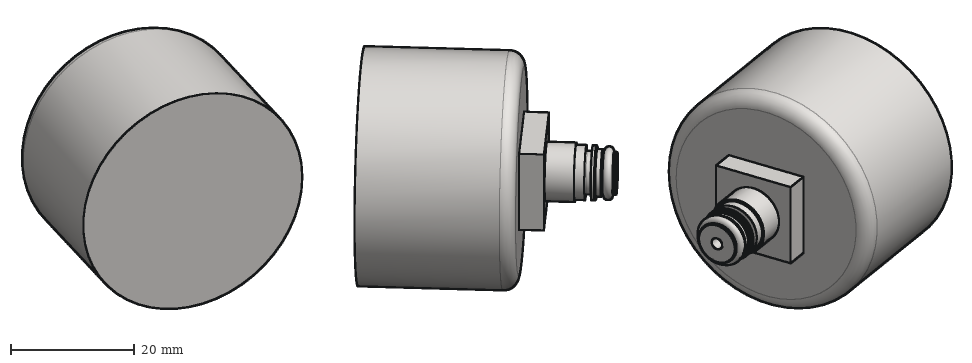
import cadquery as cq

overall_length = 41.5
tip_end = 0.5
ring_groove_end = 2.2
flange_start = 3.28
flange_end = 4.03
collar_start = 5.05
collar_end = 6.72
stem_end = 11.45
body_start = 15.5

body_diameter = 39.0
stem_diameter = 9.7
collar_diameter = 9.0
land_diameter = 7.8
clip_groove_diameter = 7.15
tip_diameter = 7.0
ring_groove_diameter = 5.65
ring_diameter = 8.75
bore_diameter = 2.0

body_round = 2.5
square_side = 14.1
edge_chamfer = 0.12
flange_chamfer = 0.2
land_chamfer = 0.25
clip_groove_fillet = 0.2
bore_depth = body_start
ring_seat_depth = 0.05

ring_tube_radius = (ring_diameter - ring_groove_diameter) / 4 + ring_seat_depth / 2
ring_center_radius = ring_diameter / 2 - ring_tube_radius
ring_center = (tip_end + ring_groove_end) / 2


def cylinder(start, end, diameter):
    """Round section on the X axis between two stations."""
    return cq.Workplane("YZ", origin=(start, 0, 0)).circle(diameter / 2).extrude(end - start)


def make_body():
    """Gauge case with a rounded edge toward the connector."""
    return cylinder(body_start, overall_length, body_diameter).faces("<X").edges().fillet(body_round)


def make_square():
    """Square wrench block between the stem and the case."""
    length = body_start - stem_end
    return cq.Workplane("YZ", origin=(stem_end, 0, 0)).rect(square_side, square_side).extrude(length)


def make_clip_groove():
    """Narrow neck behind the flange, filleted into both groove walls."""
    neck_radius = clip_groove_diameter / 2
    wall_radius = neck_radius + clip_groove_fillet
    return (
        cq.Workplane("XY")
        .moveTo(flange_end, 0)
        .lineTo(flange_end, wall_radius)
        .radiusArc((flange_end + clip_groove_fillet, neck_radius), -clip_groove_fillet)
        .lineTo(collar_start - clip_groove_fillet, neck_radius)
        .radiusArc((collar_start, wall_radius), -clip_groove_fillet)
        .lineTo(collar_start, 0)
        .close()
        .revolve(360, (0, 0, 0), (1, 0, 0))
    )


def make_o_ring():
    """Sealing ring seated in the groove behind the tip."""
    return (
        cq.Workplane("XY")
        .center(ring_center, ring_center_radius)
        .circle(ring_tube_radius)
        .revolve(360, (0, -ring_center_radius, 0), (1, -ring_center_radius, 0))
    )


def make_connector():
    """Stepped quick-connect spigot, from tip to stem."""
    sections = [
        cylinder(0, tip_end, tip_diameter).edges().chamfer(edge_chamfer),
        cylinder(tip_end, ring_groove_end, ring_groove_diameter),
        cylinder(ring_groove_end, flange_start, land_diameter).faces("<X").edges().chamfer(land_chamfer),
        cylinder(flange_start, flange_end, collar_diameter).faces("<X").edges().chamfer(flange_chamfer),
        make_clip_groove(),
        cylinder(collar_start, collar_end, collar_diameter),
        cylinder(collar_end, stem_end, stem_diameter),
        make_o_ring(),
    ]
    connector = sections[0]
    for section in sections[1:]:
        connector = connector.union(section)
    return connector


bore = cylinder(0, bore_depth, bore_diameter)
part = make_body().union(make_square()).union(make_connector()).cut(bore)

result = part.translate((-overall_length / 2, 0, 0))